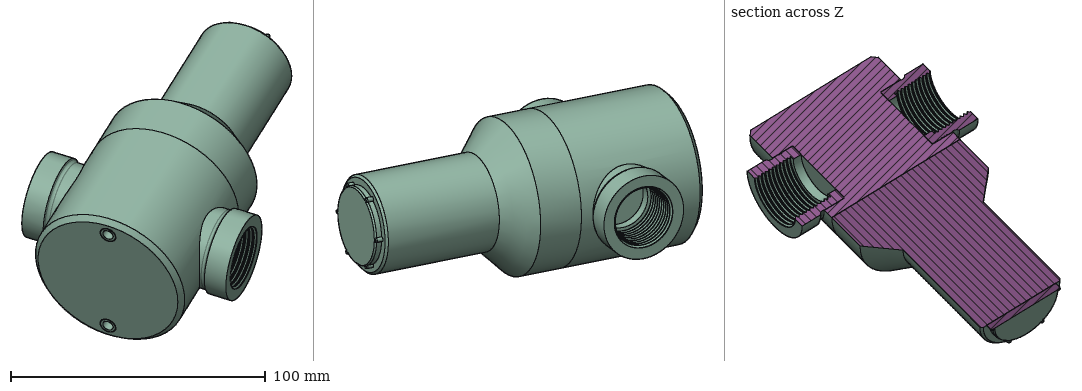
import cadquery as cq

overall_length = 137.4
overall_width = 87.5
front_y = -33.0
back_y = front_y + overall_length

housing_diameter = 64.0
housing_length = 54.4
housing_chamfer = 2.0
housing_radius = housing_diameter / 2
joint_y = front_y + housing_length

band_length = 18.0
stem_diameter = 40.0
stem_chamfer = 1.0
stem_radius = stem_diameter / 2
cone_length = housing_radius - stem_radius
cone_start_y = joint_y + band_length
cone_end_y = cone_start_y + cone_length

cap_thickness = 3.0
cap_diameter = 32.2
cap_chamfer_length = 0.8
cap_chamfer_depth = 0.4
rib_tip_diameter = 34.5
rib_radius = 1.0
rib_chamfer_length = 0.5
rib_chamfer_depth = 0.3
rib_count = 6
cap_y = back_y - cap_thickness

collar_diameter = 35.2
collar_length = 9.2
collar_chamfer = 0.4
neck_diameter = 32.8
neck_blend_length = 1.5
neck_blend_rise = (collar_diameter - neck_diameter) / 2 - collar_chamfer
fitting_seat_x = 22.0
bore_diameter = 22.0
thread_major_diameter = 25.7
thread_minor_diameter = 24.2
thread_pitch = 1.8
thread_turns = 10
thread_flank_length = 0.5
thread_flat_length = thread_pitch / 2 - thread_flank_length
port_x = overall_width / 2

screw_offset_z = 25.0
screw_diameter = 6.3
screw_length = 11.0
screw_hole_diameter = 6.7
socket_diameter = 4.4
socket_depth = 4.1


def y_cylinder(diameter, start_y, length, x=0.0, z=0.0):
    """Cylinder along +Y that starts at start_y."""
    axis_plane = cq.Plane(origin=(x, start_y, z), xDir=(1, 0, 0), normal=(0, 1, 0))
    return cq.Workplane(axis_plane).circle(diameter / 2).extrude(length)


def x_cylinder(diameter, start_x, end_x):
    """Cylinder along the X axis between two X positions."""
    return cq.Workplane("YZ", origin=(start_x, 0, 0)).circle(diameter / 2).extrude(end_x - start_x)


def make_housing():
    """Front cylinder with two port recesses and two screw holes."""
    body = y_cylinder(housing_diameter, front_y, housing_length)
    body = body.faces("<Y").chamfer(housing_chamfer)
    for side in (-1, 1):
        body = body.cut(x_cylinder(neck_diameter, side * fitting_seat_x, side * port_x))
        body = body.cut(y_cylinder(screw_hole_diameter, front_y, screw_length, z=side * screw_offset_z))
    return body


def make_bonnet():
    """Band, cone and stem turned about the Y axis."""
    return (
        cq.Workplane("XY")
        .moveTo(0, joint_y)
        .lineTo(housing_radius, joint_y)
        .lineTo(housing_radius, cone_start_y)
        .lineTo(stem_radius, cone_end_y)
        .lineTo(stem_radius, cap_y - stem_chamfer)
        .lineTo(stem_radius - stem_chamfer, cap_y)
        .lineTo(0, cap_y)
        .close()
        .revolve(360, (0, 0, 0), (0, 1, 0))
    )


def make_cap():
    """Bevelled disc with evenly spaced round grip ribs, one of them on +X."""
    disc = y_cylinder(cap_diameter, cap_y, cap_thickness)
    disc = disc.faces(">Y").chamfer(cap_chamfer_length, cap_chamfer_depth)
    rib = y_cylinder(2 * rib_radius, cap_y, cap_thickness, x=rib_tip_diameter / 2 - rib_radius)
    rib = rib.faces(">Y").chamfer(rib_chamfer_length, rib_chamfer_depth)
    for index in range(rib_count):
        disc = disc.union(rib.rotate((0, 0, 0), (0, 1, 0), index * 360 / rib_count))
    return disc


def make_fitting():
    """Port socket on the +X side, turned about the X axis, with flat-topped thread rings."""
    neck_radius = neck_diameter / 2
    collar_radius = collar_diameter / 2
    collar_x = port_x - collar_length
    blend_end_x = collar_x - collar_chamfer
    blend_start_x = blend_end_x - neck_blend_length
    thread_end_x = port_x - thread_turns * thread_pitch
    profile = (
        cq.Workplane("XY")
        .moveTo(fitting_seat_x, bore_diameter / 2)
        .lineTo(fitting_seat_x, neck_radius)
        .lineTo(blend_start_x, neck_radius)
        .tangentArcPoint((blend_end_x, neck_radius + neck_blend_rise), relative=False)
        .lineTo(collar_x, collar_radius)
        .lineTo(port_x, collar_radius)
        .lineTo(port_x, thread_major_diameter / 2)
    )
    for turn in range(thread_turns):
        root_x = port_x - turn * thread_pitch
        crest_x = root_x - thread_flat_length - thread_flank_length
        profile = (
            profile.lineTo(root_x - thread_flat_length, thread_major_diameter / 2)
            .lineTo(crest_x, thread_minor_diameter / 2)
            .lineTo(crest_x - thread_flat_length, thread_minor_diameter / 2)
            .lineTo(root_x - thread_pitch, thread_major_diameter / 2)
        )
    profile = profile.lineTo(thread_end_x, bore_diameter / 2).close()
    return profile.revolve(360, (0, 0, 0), (1, 0, 0))


def make_screw(z):
    """Screw flush with the front face, with a round socket."""
    shank = y_cylinder(screw_diameter, front_y, screw_length, z=z)
    return shank.cut(y_cylinder(socket_diameter, front_y, socket_depth, z=z))


housing = make_housing()
bonnet = make_bonnet()
cap = make_cap()
fittings = [make_fitting().rotate((0, 0, 0), (0, 0, 1), angle) for angle in (0, 180)]
screws = [make_screw(side * screw_offset_z) for side in (-1, 1)]

bodies = [housing, bonnet, cap, *fittings, *screws]
result = cq.Compound.makeCompound([body.val() for body in bodies])